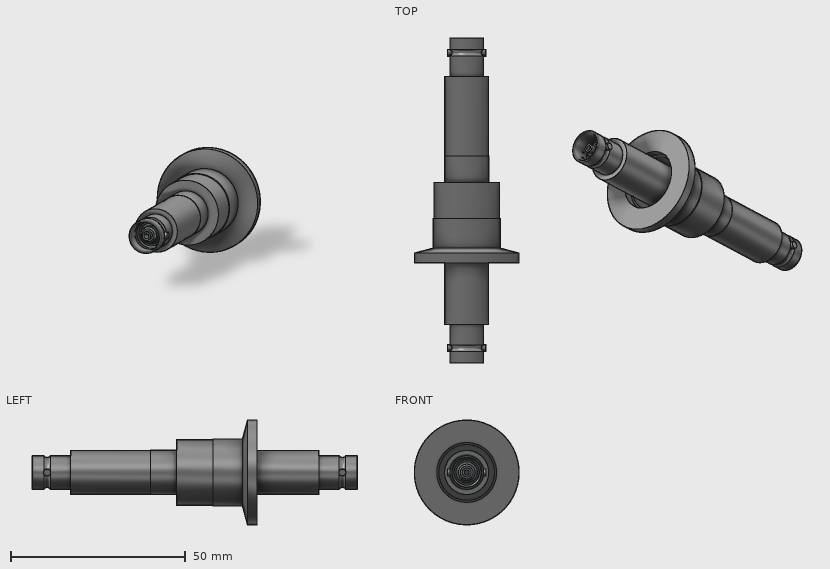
import cadquery as cq
import math


total_length = 92.9
connector_length = 11.0
flange_face_y = -17.85
rim_width = 2.8
body_half_length = 5.2
neck_end_y = 12.7

tube_radius = 6.3
neck_radius = 6.35
body_radius = 9.4
stub_radius = 9.6
flange_radius = 15.0
flange_cone_angle = 15.0

outer_bore_radius = 8.55
outer_bore_depth = 2.8
inner_bore_radius = 7.95

shell_radius = 4.82
lip_radius = 0.2
socket_radius = 4.2
socket_depth = 6.0
socket_floor_radius = 3.6
funnel_length = 0.35
groove_centre = 4.25
groove_width = 1.9
groove_depth = 0.5
lug_radius = 1.0
lug_reach = 5.5

insulator_base_radius = 3.05
insulator_radius = 2.37
insulator_tip_radius = 1.83
insulator_tip_depth = 3.0
contact_radius = 1.26
contact_tip_depth = 1.4
contact_hole_radius = 0.7
contact_hole_depth = 4.0

half_length = total_length / 2
tube_half_length = half_length - connector_length


def turn(profile):
    """Revolve a closed (radius, y) profile about the Y axis."""
    return profile.close().revolve(360, (0, 0, 0), (0, 1, 0))


def cylinder(radius, y_start, y_end):
    """Solid cylinder on the Y axis between two stations."""
    profile = cq.Workplane("XY").moveTo(0, y_start).lineTo(radius, y_start)
    return turn(profile.lineTo(radius, y_end).lineTo(0, y_end))


def make_body():
    """Tube, central collar and flange with its conical back."""
    rim_y = flange_face_y + rim_width
    cone_rise = (flange_radius - stub_radius) * math.tan(math.radians(flange_cone_angle))
    flange = turn(
        cq.Workplane("XY")
        .moveTo(0, flange_face_y)
        .lineTo(flange_radius, flange_face_y)
        .lineTo(flange_radius, rim_y)
        .lineTo(stub_radius, rim_y + cone_rise)
        .lineTo(stub_radius, -body_half_length)
        .lineTo(0, -body_half_length)
    )
    collar = cylinder(body_radius, -body_half_length, body_half_length)
    outer_bore = cylinder(outer_bore_radius, flange_face_y, flange_face_y + outer_bore_depth)
    inner_bore = cylinder(inner_bore_radius, flange_face_y, -body_half_length)
    tube = cylinder(tube_radius, -tube_half_length, tube_half_length)
    neck = cylinder(neck_radius, 0, neck_end_y)
    return flange.union(collar).cut(outer_bore).cut(inner_bore).union(tube).union(neck)


def make_connector():
    """Connector whose mouth faces -Y at the -Y end of the part."""
    mouth_y = -half_length
    groove_y = mouth_y + groove_centre
    groove_start = groove_y - groove_width / 2
    groove_end = groove_y + groove_width / 2
    shell = turn(
        cq.Workplane("XY")
        .moveTo(0, mouth_y)
        .lineTo(shell_radius, mouth_y)
        .lineTo(shell_radius, groove_start)
        .threePointArc((shell_radius - groove_depth, groove_y), (shell_radius, groove_end))
        .lineTo(shell_radius, -tube_half_length)
        .lineTo(0, -tube_half_length)
    )
    socket = turn(
        cq.Workplane("XY")
        .moveTo(0, mouth_y)
        .lineTo(socket_radius, mouth_y)
        .lineTo(socket_radius, mouth_y + socket_depth - funnel_length)
        .lineTo(socket_floor_radius, mouth_y + socket_depth)
        .lineTo(0, mouth_y + socket_depth)
    )
    shell = shell.cut(socket).faces("<Y").edges().fillet(lip_radius)
    tip_chamfer = insulator_radius - insulator_tip_radius
    base_chamfer = insulator_base_radius - insulator_radius
    insulator = turn(
        cq.Workplane("XY")
        .moveTo(0, mouth_y + insulator_tip_depth)
        .lineTo(insulator_tip_radius, mouth_y + insulator_tip_depth)
        .lineTo(insulator_radius, mouth_y + insulator_tip_depth + tip_chamfer)
        .lineTo(insulator_radius, mouth_y + socket_depth - base_chamfer)
        .lineTo(insulator_base_radius, mouth_y + socket_depth)
        .lineTo(0, mouth_y + socket_depth)
    )
    contact_tip = mouth_y + contact_tip_depth
    contact = cylinder(contact_radius, contact_tip, mouth_y + socket_depth)
    contact_hole = cylinder(contact_hole_radius, contact_tip, contact_tip + contact_hole_depth)
    connector = shell.union(insulator).union(contact).cut(contact_hole)

    lug_root = (socket_radius + shell_radius - groove_depth) / 2
    lug_plane = cq.Workplane("YZ", origin=(lug_root, 0, 0)).center(groove_y, 0)
    lug = lug_plane.circle(lug_radius).extrude(lug_reach - lug_root)
    return connector.union(lug).union(lug.mirror("YZ"))


connector = make_connector()
result = make_body().union(connector).union(connector.mirror("XZ"))